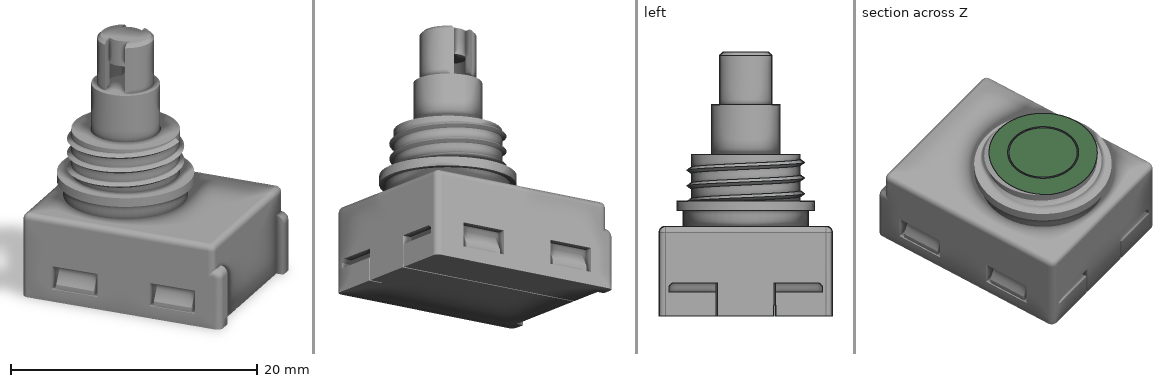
import cadquery as cq


overall_length = 17.65
housing_width = 14.07
housing_height = 7.29
axis_to_left = 6.125
ear_overhang = 0.635
edge_radius = 0.5
left_x = -axis_to_left
front_y = -housing_width / 2
housing_length = overall_length - ear_overhang

ear_width = 1.38
ear_height = 5.12
ear_overlap = 1.0

pocket_depth = 0.76

window_width = 4.06
window_height = 2.03
window_bottom = 1.09
window_starts = (2.66, 11.33)
latch_recess = 0.1
latch_width = 3.34
latch_lip_height = 0.41
latch_height = 1.6

notch_inner_y = 2.28
notch_outer_y = 6.24
notch_height = 2.69
notch_corner = 0.28
gap_width = 0.15
gap_depth = 1.2
tab_height = 1.95

slot_height = 0.88

base_diameter = 10.16
flange_diameter = 11.18
thread_root_diameter = 8.84
bore_diameter = 5.74
flange_bottom = 8.57
flange_top = 9.33
bushing_top = 13.13

thread_pitch = 1.27
thread_turns = 3
thread_crest_diameter = 9.54
thread_half_width = 0.32
thread_end_height = 12.80
thread_embed = 0.1

collar_diameter = 5.59
collar_top = 17.18
tip_diameter = 4.62
tip_top = 21.46
tip_chamfer = 0.28
tip_bore_diameter = 3.05
tip_slot_width = 1.78
plug_bottom = 19.25


def box(x, y, z, length, width, height):
    """Box with its lowest corner at (x, y, z)."""
    return cq.Workplane("XY").box(length, width, height, centered=False).translate((x, y, z))


def disc(diameter, bottom, top):
    """Cylinder on the shaft axis between two heights."""
    return cq.Workplane("XY").workplane(offset=bottom).circle(diameter / 2).extrude(top - bottom)


def make_ear():
    """Ear at the front right corner, curving back to the wall at its top."""
    ear_length = ear_overhang + ear_overlap
    start_x = left_x + overall_length - ear_length
    ear = box(start_x, front_y, 0, ear_length, ear_width, ear_height)
    ear = ear.edges(">X and >Z").fillet(ear_overhang)
    return ear.faces("<Y").edges(">X or >Z or (not(|X or |Z))").fillet(edge_radius)


def make_window(start):
    """Material removed around one latch in the front side."""
    window_x = left_x + start
    pocket = box(window_x, front_y, window_bottom, window_width, pocket_depth, window_height)
    face_y = front_y + latch_recess
    back_y = front_y + pocket_depth
    lip_z = window_bottom + latch_lip_height
    latch_top = window_bottom + latch_height
    latch = (
        cq.Workplane("YZ")
        .moveTo(face_y, window_bottom)
        .lineTo(face_y, lip_z)
        .lineTo(back_y, latch_top)
        .lineTo(back_y, window_bottom)
        .close()
        .extrude(latch_width)
        .translate((window_x + (window_width - latch_width) / 2, 0, 0))
    )
    return pocket.cut(latch)


def make_notch():
    """Material removed above and beside the tab in the left side, on the +Y half."""
    pocket = box(
        left_x, notch_inner_y, tab_height,
        pocket_depth, notch_outer_y - notch_inner_y, notch_height - tab_height,
    )
    pocket = pocket.edges("|X and >Y and >Z").chamfer(notch_corner)
    return pocket.union(box(left_x, notch_inner_y, 0, gap_depth, gap_width, notch_height))


def make_housing():
    housing = box(left_x, front_y, 0, housing_length, housing_width, housing_height)
    housing = housing.edges("|Z or >Z").fillet(edge_radius)
    ear = make_ear()
    housing = housing.union(ear).union(ear.mirror("XZ"))
    for start in window_starts:
        window = make_window(start)
        housing = housing.cut(window).cut(window.mirror("XZ"))
    notch = make_notch()
    housing = housing.cut(notch).cut(notch.mirror("XZ"))
    slot = box(left_x, -notch_inner_y - gap_width, 0, overall_length, gap_width, slot_height)
    return housing.cut(slot)


def make_thread():
    """Right-handed triangular ridge wound round the bushing."""
    height = thread_turns * thread_pitch
    root = thread_root_diameter / 2 - thread_embed
    crest = thread_crest_diameter / 2
    helix = cq.Wire.makeHelix(thread_pitch, height, thread_root_diameter / 2)
    ridge = (
        cq.Workplane("XZ")
        .moveTo(root, -thread_half_width)
        .lineTo(crest, 0)
        .lineTo(root, thread_half_width)
        .close()
        .sweep(cq.Workplane(helix), isFrenet=True)
    )
    return ridge.translate((0, 0, thread_end_height - height))


def make_bushing():
    bushing = disc(thread_root_diameter, flange_bottom, bushing_top).union(make_thread())
    bushing = bushing.union(disc(flange_diameter, flange_bottom, flange_top))
    bushing = bushing.union(disc(base_diameter, housing_height, flange_bottom))
    return bushing.cut(disc(bore_diameter, flange_top, bushing_top))


def make_shaft():
    """Stepped shaft whose hollow, slotted tip is closed by a plug at the top."""
    collar = disc(collar_diameter, flange_top, collar_top)
    tip = disc(tip_diameter, collar_top, tip_top).faces(">Z").chamfer(tip_chamfer)
    tip = tip.cut(disc(tip_bore_diameter, collar_top, tip_top))
    slot = box(
        -tip_slot_width / 2, -tip_diameter / 2, collar_top,
        tip_slot_width, tip_diameter, tip_top - collar_top,
    )
    plug = disc(tip_bore_diameter, plug_bottom, tip_top)
    return collar.union(tip.cut(slot)).union(plug)


result = make_housing().union(make_bushing()).union(make_shaft())